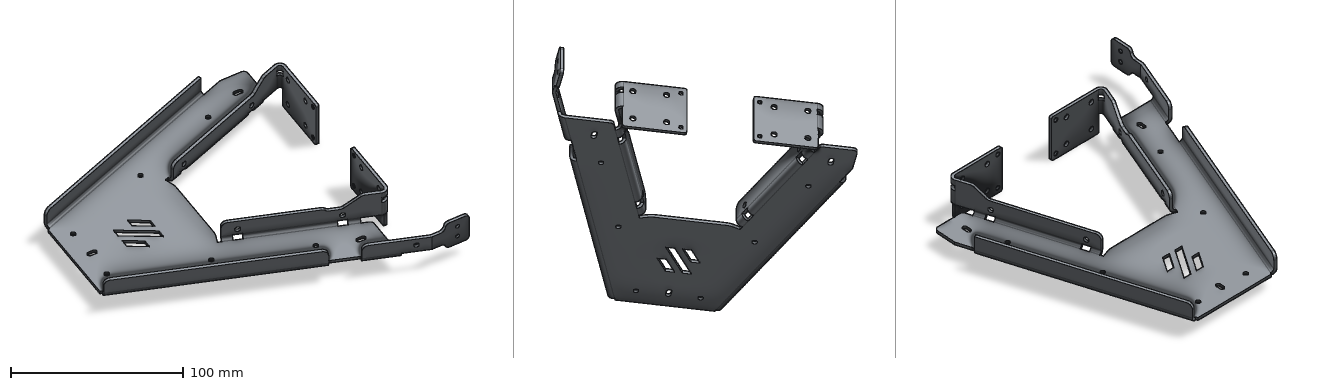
import cadquery as cq
import math

sheet = 2.0
bend_radius = 4.2
corner_radius = 4.0
leg_angle = math.radians(20)

outer_line_x = 29.5
inner_line_x = 0.8
rear_y = 165.4
left_side_x = -83.5
web_rear_y = 81.8
notch_u = 84.5
plate_corner_radius = 3.0
shoulder_radius = 12.5

screw_hole = 3.1
screw_hole_places = [(19.0, 10.8), (40.3, 68.9), (61.2, 127.0)]
slot_length = 6.2
front_slot_y = 12.2
leg_slot_place = (70.0, 152.3)

window_center_y = 43.5
bar_width = 5.4
bar_height = 22.5
bar_offset_x = 6.5
bar_lean = math.radians(32)

outer_wall_top = 14.3
left_outer_rear_u = 143.0
right_outer_rear_u = 134.5

inner_wall_top = 15.0
inner_front_u = 87.0
inner_bend_rear_u = 169.3
relief_length = 6.0
wall_hole_us = (96.7, 158.7)
wall_hole_z = 8.3
wall_hole_diameter = 3.5
ramp_mid_u = 165.5
ramp_run = 10.0
ramp_radius = 4.2
dip_depth = 1.7
dip_rise_u = 148.5
dip_rise_run = 2.0
dip_radius = 3.1

mount_rear_y = 177.2
mount_inner_x = 19.7
mount_height = 32.5
mount_center_z = 6.0
mount_corner_radius = 1.5
mount_lip = 0.6
mount_hole = 3.5
mount_hole_x = 41.7
mount_hole_pitch = 20.0
pin_hole = 2.5
pin_hole_mouth = 3.1
pin_hole_x = 23.2
pin_hole_pitch = 25.0
bend_relief_z = (14.3, 18.0)

arm_front_u = 154.2
arm_hole_u = 186.3
arm_hole_z = 9.3
arm_turn_y = 182.2
tab_rear_y = 207.5
tab_top_z = 20.0
tab_neck_y = 194.2
tab_corner_radius = 3.0
tab_neck_radius = 3.7
tab_hole_y = 199.6
tab_hole_z = 10.2
tab_hole_pitch = 8.0

sin_leg = math.sin(leg_angle)
cos_leg = math.cos(leg_angle)
mount_top_z = mount_center_z + mount_height / 2
outer_front_u = bend_radius * math.tan(leg_angle)
along = cq.Vector(sin_leg, cos_leg, 0)
outward = cq.Vector(cos_leg, -sin_leg, 0)
OUTER = 1
INNER = -1
far = 415.0


def line_start(side):
    return cq.Vector(outer_line_x if side == OUTER else inner_line_x, 0, 0)


def leg_point(side, u, v=0.0):
    """Plan point at u along a right-leg bend line and v beyond it."""
    point = line_start(side) + along * u + outward * (side * v)
    return (point.x, point.y)


def wall_plane(side):
    """Sketch plane (u, z) on the plate-side face of a wall."""
    origin = line_start(side) + outward * (side * (bend_radius - sheet))
    return cq.Workplane(cq.Plane(origin=origin, xDir=along, normal=outward))


def wall_hole(side, u, z, diameter):
    hole = wall_plane(side).center(u, z).circle(diameter / 2)
    return hole.extrude(side * sheet)


def bend(side, start_u, end_u):
    """Quarter-round strip that turns the plate up into a wall."""
    inner_radius = bend_radius - sheet
    plane = cq.Plane(
        origin=line_start(side) + along * start_u,
        xDir=outward * side,
        normal=along * -side,
    )
    mid = math.sqrt(0.5)
    section = (
        cq.Workplane(plane)
        .moveTo(0, 0)
        .threePointArc((bend_radius * mid, bend_radius * (1 - mid)), (bend_radius, bend_radius))
        .lineTo(inner_radius, bend_radius)
        .threePointArc((inner_radius * mid, bend_radius - inner_radius * mid), (0, sheet))
        .close()
    )
    return section.extrude(-side * (end_u - start_u))


def vertical_fillet(body, place, radius):
    nearest = cq.selectors.NearestToPointSelector((place[0], place[1], sheet / 2))
    return body.edges("|Z").edges(nearest).fillet(radius)


def round_wall_corner(wall, side, u, z, radius):
    """Round the edge that crosses a wall at (u, z)."""
    x, y = leg_point(side, u, bend_radius - sheet / 2)
    crossing = cq.selectors.ParallelDirSelector(outward)
    nearest = cq.selectors.NearestToPointSelector((x, y, z))
    return wall.edges(crossing).edges(nearest).fillet(radius)


def mirrored(body):
    return body.mirror("YZ")


def base_plate():
    rear_u = rear_y / cos_leg
    notch = leg_point(INNER, notch_u)
    shoulder_v = (web_rear_y - notch[1]) / sin_leg
    shoulder = leg_point(INNER, notch_u, shoulder_v)
    inner_rear = leg_point(INNER, rear_u)
    left_turn_y = (-left_side_x - outer_line_x) / math.tan(leg_angle)
    right = [(outer_line_x, 0), leg_point(OUTER, rear_u), inner_rear, notch, shoulder]
    left_inner = [(-x, y) for x, y in (shoulder, notch, inner_rear)]
    left_outer = [(left_side_x, rear_y), (left_side_x, left_turn_y), (-outer_line_x, 0)]
    plate = cq.Workplane("XY").polyline(right + left_inner + left_outer).close().extrude(sheet)
    for corner in (inner_rear, left_inner[-1], left_outer[0]):
        plate = vertical_fillet(plate, corner, plate_corner_radius)
    for corner in (shoulder, left_inner[0]):
        plate = vertical_fillet(plate, corner, shoulder_radius)
    return plate


def plate_openings():
    holes = [(side * x, y) for x, y in screw_hole_places for side in (1, -1)]
    slot_x, slot_y = leg_slot_place
    slots = [(0, front_slot_y), (slot_x, slot_y), (-slot_x, slot_y)]
    cutter = cq.Workplane("XY").pushPoints(holes).circle(screw_hole / 2).extrude(sheet)
    slot_cutter = cq.Workplane("XY").pushPoints(slots).slot2D(slot_length, screw_hole, 90).extrude(sheet)
    cutter = cutter.union(slot_cutter)
    half = bar_height / 2
    for x, y, height in (
        (0, 0, bar_height),
        (-bar_offset_x, half / 2, half),
        (bar_offset_x, -half / 2, half),
    ):
        lean = height / 2 * math.tan(bar_lean)
        left = x - bar_width / 2
        right = x + bar_width / 2
        bottom = window_center_y + y - height / 2
        top = bottom + height
        outline = [(left - lean, bottom), (right - lean, bottom), (right + lean, top), (left + lean, top)]
        cutter = cutter.union(cq.Workplane("XY").polyline(outline).close().extrude(sheet))
    return cutter


def outer_flange(rear_u, round_rear):
    length = rear_u - outer_front_u
    height = outer_wall_top - bend_radius
    wall = (
        wall_plane(OUTER)
        .center(outer_front_u, bend_radius)
        .rect(length, height, centered=False)
        .extrude(sheet)
    )
    wall = round_wall_corner(wall, OUTER, outer_front_u, outer_wall_top, corner_radius)
    if round_rear:
        wall = round_wall_corner(wall, OUTER, rear_u, outer_wall_top, corner_radius)
    return wall.union(bend(OUTER, outer_front_u, rear_u))


def inner_wall(rear_u, dipped):
    ramp_front_u = ramp_mid_u - ramp_run / 2
    ramp_rear_u = ramp_mid_u + ramp_run / 2
    ramp_slope = (mount_top_z - inner_wall_top) / ramp_run
    rounded = [((inner_front_u, inner_wall_top), corner_radius)]
    if dipped:
        dip_z = inner_wall_top - dip_depth
        rounded += [
            ((dip_rise_u - dip_rise_run / 2, inner_wall_top), dip_radius),
            ((dip_rise_u + dip_rise_run / 2, dip_z), dip_radius),
            ((ramp_front_u - dip_depth / ramp_slope, dip_z), ramp_radius),
        ]
    else:
        rounded.append(((ramp_front_u, inner_wall_top), ramp_radius))
    rounded.append(((ramp_rear_u, mount_top_z), ramp_radius))

    top = [point for point, radius in rounded]
    ends = [(rear_u, mount_top_z), (rear_u, bend_radius), (inner_front_u, bend_radius)]
    wall = wall_plane(INNER).polyline(top + ends).close().extrude(-sheet)
    for (u, z), radius in rounded:
        wall = round_wall_corner(wall, INNER, u, z, radius)
    return wall


def inner_flange(dipped):
    wall_face_v = bend_radius - sheet
    crossing_u = (mount_rear_y - wall_face_v * sin_leg) / cos_leg
    crossing_x = leg_point(INNER, crossing_u, wall_face_v)[0]
    setback = bend_radius * math.tan((math.pi / 2 + leg_angle) / 2)
    mount_outer_x = crossing_x - setback

    flange = inner_wall(crossing_u - setback, dipped)
    flange = flange.union(bend(INNER, inner_front_u, inner_bend_rear_u))
    flange = flange.union(mount_bend(mount_outer_x)).union(mount_plate(mount_outer_x))
    for u in wall_hole_us:
        flange = flange.cut(bend(INNER, u - relief_length / 2, u + relief_length / 2))
        flange = flange.cut(wall_hole(INNER, u, wall_hole_z, wall_hole_diameter))
    return flange


def mount_bend(center_x):
    """Upright bend from wall to mount, with a relief window through it."""
    center_y = mount_rear_y - bend_radius
    wall_side = (center_x + far * cos_leg, center_y - far * sin_leg)
    sector = [(center_x, center_y), wall_side, (wall_side[0], center_y + far), (center_x, center_y + far)]

    def slab(bottom, top):
        return cq.Workplane("XY", origin=(0, 0, bottom)).polyline(sector).close().extrude(top - bottom)

    ring = (
        cq.Workplane("XY", origin=(center_x, center_y, bend_radius))
        .circle(bend_radius)
        .circle(bend_radius - sheet)
        .extrude(mount_top_z - bend_radius)
    )
    return ring.intersect(slab(bend_radius, mount_top_z)).cut(slab(*bend_relief_z))


def mount_plate(outer_x):
    front_face = cq.Workplane("XZ", origin=(0, mount_rear_y - sheet, mount_center_z))
    half_height = mount_height / 2
    lip_top = bend_radius - mount_center_z
    outline = [
        (mount_inner_x, half_height),
        (outer_x, half_height),
        (outer_x, lip_top),
        (outer_x + mount_lip, lip_top),
        (outer_x + mount_lip, -half_height),
        (mount_inner_x, -half_height),
    ]
    plate = front_face.polyline(outline).close().extrude(-sheet)
    plate = plate.edges("|Y and (<X or <Z)").fillet(mount_corner_radius)
    screws = (
        front_face.center(mount_hole_x, 0)
        .rect(mount_hole_pitch, mount_hole_pitch, forConstruction=True)
        .vertices()
        .circle(mount_hole / 2)
        .extrude(-sheet)
    )
    return plate.cut(screws).cut(pin_holes(front_face.center(pin_hole_x, 0), pin_hole_pitch, -sheet))


def pin_holes(face, pitch, depth):
    """Two small holes above each other, each with a chamfered mouth on the given face."""
    places = [(0, pitch / 2), (0, -pitch / 2)]
    mouth_depth = math.copysign((pin_hole_mouth - pin_hole) / 2, depth)
    holes = face.pushPoints(places).circle(pin_hole / 2).extrude(depth)
    mouths = face.pushPoints(places).circle(pin_hole_mouth / 2).extrude(mouth_depth, taper=45)
    return holes.union(mouths)


def arm_bend():
    strip = bend(OUTER, arm_front_u, arm_front_u + rear_y)
    return strip.intersect(cq.Workplane("XY").box(far, rear_y, far, centered=(True, False, True)))


def side_arm():
    turn_u = (arm_turn_y + bend_radius * sin_leg) / cos_leg
    outer_turn_x = leg_point(OUTER, turn_u, bend_radius)[0]
    inner_turn_y = arm_turn_y + sheet * math.tan(leg_angle / 2)
    inner_turn_x = outer_turn_x - sheet
    plan = [
        leg_point(OUTER, arm_front_u, bend_radius),
        (outer_turn_x, arm_turn_y),
        (outer_turn_x, tab_rear_y),
        (inner_turn_x, tab_rear_y),
        (inner_turn_x, inner_turn_y),
        leg_point(OUTER, arm_front_u, bend_radius - sheet),
    ]
    strip = cq.Workplane("XY").polyline(plan).close().extrude(tab_top_z)
    front_y = leg_point(OUTER, arm_front_u, bend_radius)[1]
    strip = strip.intersect(arm_side_outline(front_y - sheet))
    strip = round_wall_corner(strip, OUTER, arm_front_u, outer_wall_top, corner_radius)
    tab_face = cq.Workplane("YZ", origin=(inner_turn_x, tab_hole_y, tab_hole_z))
    strip = strip.cut(pin_holes(tab_face, tab_hole_pitch, sheet))
    strip = strip.cut(wall_hole(OUTER, arm_hole_u, arm_hole_z, screw_hole))
    return strip.union(arm_bend())


def neck_points(step):
    """Distances (back from the neck, in from the tab edge) through two tangent arcs."""
    both = tab_corner_radius + tab_neck_radius
    sweep = math.acos(1 - step / both)

    def convex(angle):
        return (tab_corner_radius * math.sin(angle), tab_corner_radius * (1 - math.cos(angle)))

    def concave(angle):
        reach = both * math.sin(sweep) - tab_neck_radius * math.sin(angle)
        return (reach, step - tab_neck_radius * (1 - math.cos(angle)))

    return [convex(sweep / 2), convex(sweep), concave(sweep / 2), concave(0)]


def arm_side_outline(front_y):
    """Solid whose (y, z) outline is the arm widening into the tab."""
    upper = [(tab_neck_y - back, tab_top_z - drop) for back, drop in neck_points(tab_top_z - outer_wall_top)]
    lower = [(tab_neck_y - back, rise) for back, rise in neck_points(bend_radius)]
    outline = (
        cq.Workplane("YZ")
        .moveTo(front_y, bend_radius)
        .lineTo(*lower[3])
        .threePointArc(lower[2], lower[1])
        .threePointArc(lower[0], (tab_neck_y, 0))
        .lineTo(tab_rear_y, 0)
        .lineTo(tab_rear_y, tab_top_z)
        .lineTo(tab_neck_y, tab_top_z)
        .threePointArc(upper[0], upper[1])
        .threePointArc(upper[2], upper[3])
        .lineTo(front_y, outer_wall_top)
        .close()
        .extrude(far)
    )
    return outline.edges("|X and >Y").fillet(tab_corner_radius)


result = (
    base_plate()
    .cut(plate_openings())
    .union(outer_flange(right_outer_rear_u, round_rear=True))
    .union(mirrored(outer_flange(left_outer_rear_u, round_rear=False)))
    .union(inner_flange(dipped=True))
    .union(mirrored(inner_flange(dipped=False)))
    .union(side_arm())
)